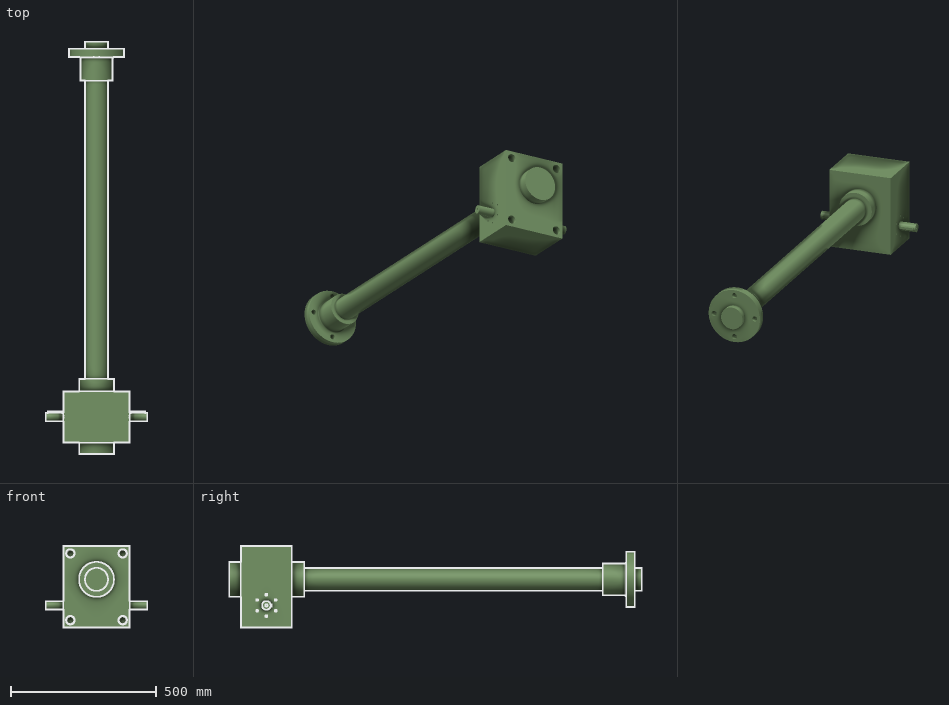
import cadquery as cq
import math

overall_length = 1416.0

housing_width = 227.0
housing_depth = 175.0
housing_height = 280.0
housing_top = 115.0
boss_diameter = 120.0
front_boss_length = 40.0
rear_boss_length = 42.0

thread_diameter = 30.0
thread_depth = 35.0
core_diameter = 27.0
core_depth = 42.0
mount_hole_spacing_x = 180.0
mount_hole_spacing_z = 230.0
drill_tip_angle = 118.0

shaft_diameter = 30.0
shaft_span = 350.0
shaft_drop = 89.0
center_hole_diameter = 8.4
center_hole_depth = 21.0

cover_hole_diameter = 6.7
cover_hole_depth = 14.0
cover_hole_count = 6
cover_ring_radius = 37.0

key_length = 50.0
key_width = 8.0
key_height = 8.0
key_rise = 4.0
key_end_gap = 7.0

screw_diameter = 80.0
screw_overhang = 24.0
nut_length = 110.0
nut_diameter = 110.0
flange_diameter = 190.0
flange_thickness = 30.0
flange_fillet = 4.0
flange_hole_diameter = 18.0
flange_hole_circle = 150.0
flange_hole_count = 4

housing_front = front_boss_length
housing_rear = housing_front + housing_depth
housing_center_z = housing_top - housing_height / 2
rear_boss_end = housing_rear + rear_boss_length
shaft_y = housing_front + housing_depth / 2
shaft_z = -shaft_drop
flange_rear = overall_length - screw_overhang
flange_front = flange_rear - flange_thickness
nut_front = flange_rear - nut_length


def rod(diameter, start, end):
    """Cylinder on the Y axis between two Y positions."""
    return cq.Workplane("XZ", origin=(0, start, 0)).circle(diameter / 2).extrude(start - end)


def mounting_holes():
    """Four stepped blind holes with conical drill tips, in the corners of the housing front."""
    thread_radius = thread_diameter / 2
    core_radius = core_diameter / 2
    tip_depth = core_depth + core_radius / math.tan(math.radians(drill_tip_angle / 2))
    drill = (
        cq.Workplane("XY")
        .moveTo(0, 0)
        .lineTo(thread_radius, 0)
        .lineTo(thread_radius, thread_depth)
        .lineTo(core_radius, thread_depth)
        .lineTo(core_radius, core_depth)
        .lineTo(0, tip_depth)
        .close()
        .revolve(360, (0, 0, 0), (0, 1, 0))
        .translate((0, housing_front, 0))
    )
    holes = cq.Workplane("XY")
    for x_side in (-1, 1):
        for z_side in (-1, 1):
            x = x_side * mount_hole_spacing_x / 2
            z = housing_center_z + z_side * mount_hole_spacing_z / 2
            holes = holes.add(drill.translate((x, 0, z)))
    return holes.combine()


def cover_holes(side):
    """Ring of small blind holes around the shaft on the -X (side = -1) or +X (side = 1) face."""
    return (
        cq.Workplane("YZ", origin=(side * housing_width / 2, shaft_y, shaft_z))
        .polarArray(cover_ring_radius, 90, 360, cover_hole_count)
        .circle(cover_hole_diameter / 2)
        .extrude(-side * cover_hole_depth)
    )


def center_hole(side):
    """Blind hole in one end of the shaft."""
    return (
        cq.Workplane("YZ", origin=(side * shaft_span / 2, shaft_y, shaft_z))
        .circle(center_hole_diameter / 2)
        .extrude(-side * center_hole_depth)
    )


def make_key(side):
    """Feather key on the +Y flank of one shaft end."""
    x = side * (shaft_span / 2 - key_end_gap - key_length / 2)
    y = shaft_y + shaft_diameter / 2 + key_rise - key_height / 2
    return cq.Workplane("XY").box(key_length, key_height, key_width).translate((x, y, shaft_z))


def make_housing(keys):
    block = (
        cq.Workplane("XY")
        .box(housing_width, housing_depth, housing_height)
        .translate((0, shaft_y, housing_center_z))
    )
    shaft = (
        cq.Workplane("YZ", origin=(-shaft_span / 2, shaft_y, shaft_z))
        .circle(shaft_diameter / 2)
        .extrude(shaft_span)
    )
    bosses = rod(boss_diameter, 0, rear_boss_end)
    housing = block.union(bosses).union(shaft)
    housing = housing.cut(rod(screw_diameter, 0, rear_boss_end))
    housing = housing.cut(mounting_holes())
    for side, key in zip((-1, 1), keys):
        housing = housing.cut(cover_holes(side)).cut(center_hole(side)).cut(key)
    return housing


def make_nut():
    flange = rod(flange_diameter, flange_front, flange_rear)
    barrel = rod(nut_diameter, nut_front, flange_front)
    nut = flange.union(barrel)
    nut = nut.edges(cq.selectors.RadiusNthSelector(0)).edges(">Y").fillet(flange_fillet)
    bolt_holes = (
        cq.Workplane("XZ", origin=(0, flange_front, 0))
        .polarArray(flange_hole_circle / 2, 0, 360, flange_hole_count)
        .circle(flange_hole_diameter / 2)
        .extrude(-flange_thickness)
    )
    return nut.cut(bolt_holes).cut(rod(screw_diameter, nut_front, flange_rear))


keys = [make_key(side) for side in (-1, 1)]
housing = make_housing(keys)
screw = rod(screw_diameter, 0, overall_length)
nut = make_nut()

result = cq.Compound.makeCompound([housing.val(), screw.val(), nut.val(), *[key.val() for key in keys]])